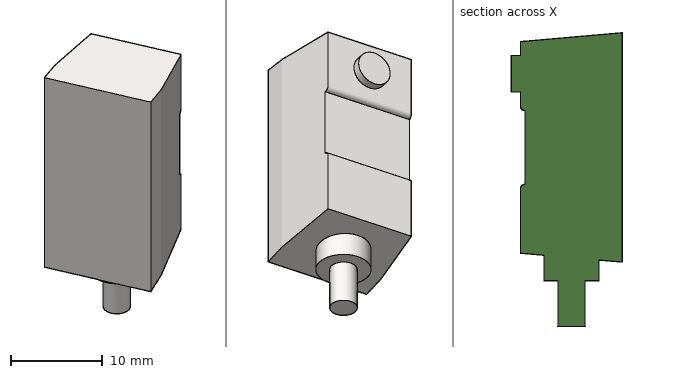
import cadquery as cq
import math

total_height = 32
housing_height = 25.0
housing_width = 12.5
overall_depth = 12.1
straight_depth = 3.0
back_width = 10.6
end_taper = 5

button_diameter = 4.0
button_length = 1.0
button_drop = 4.48

recess_height = 8
recess_depth = 0.5

collar_diameter = 6.0
cable_diameter = 3.0
cable_length = 5.0
cable_y = 5.55

housing_depth = overall_depth - button_length
housing_bottom = total_height - housing_height
housing_middle = housing_bottom + housing_height / 2
end_drop = housing_depth * math.tan(math.radians(end_taper))


def side_profile():
    """Y-Z outline with sloping ends and a back recess with rounded lips."""
    back_top = total_height - end_drop
    back_bottom = housing_bottom + end_drop
    recess_top = housing_middle + recess_height / 2
    recess_bottom = housing_middle - recess_height / 2
    floor_y = housing_depth - recess_depth
    lip_radius = recess_depth
    lip_offset = lip_radius * math.sqrt(0.5)
    arc_y = floor_y + lip_offset
    lower_lip_z = recess_bottom - lip_radius
    upper_lip_z = recess_top + lip_radius
    return (
        cq.Workplane("YZ")
        .moveTo(0, housing_bottom)
        .lineTo(housing_depth, back_bottom)
        .lineTo(housing_depth, lower_lip_z)
        .threePointArc((arc_y, lower_lip_z + lip_offset), (floor_y, recess_bottom))
        .lineTo(floor_y, recess_top)
        .threePointArc((arc_y, upper_lip_z - lip_offset), (housing_depth, upper_lip_z))
        .lineTo(housing_depth, back_top)
        .lineTo(0, total_height)
        .close()
    )


def plan_profile():
    """X-Y outline that narrows towards the back."""
    return cq.Workplane("XY").polyline([
        (-housing_width / 2, 0),
        (housing_width / 2, 0),
        (housing_width / 2, straight_depth),
        (back_width / 2, housing_depth),
        (-back_width / 2, housing_depth),
        (-housing_width / 2, straight_depth),
    ]).close()


def vertical_cylinder(diameter, bottom, top):
    return (
        cq.Workplane("XY", origin=(0, cable_y, bottom))
        .circle(diameter / 2)
        .extrude(top - bottom)
    )


side_prism = side_profile().extrude(housing_width / 2, both=True)
housing = side_prism.intersect(plan_profile().extrude(total_height))

button_root = housing_depth / 2
button = (
    cq.Workplane("XZ", origin=(0, overall_depth, total_height - button_drop))
    .circle(button_diameter / 2)
    .extrude(overall_depth - button_root)
)

collar = vertical_cylinder(collar_diameter, cable_length, housing_middle)
cable = vertical_cylinder(cable_diameter, 0, housing_middle)

result = housing.union(button).union(collar).union(cable)